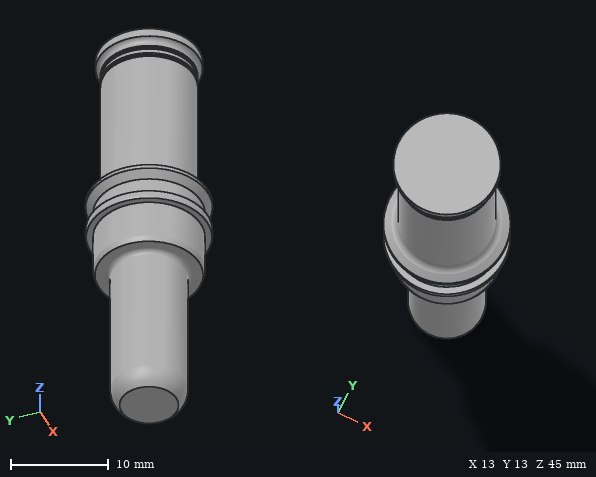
import cadquery as cq
import math

head_diameter = 11.0
neck_diameter = 10.0
groove_diameter = 9.8
collar_diameter = 13.0
body_diameter = 11.48
neck_flare_diameter = 11.4
body_end_diameter = 11.05
stem_diameter = 8.0
tip_diameter = 6.05
flange_bottom_diameter = 12.85

total_height = 45.0
head_bottom = 44.0
neck_top = 43.42
neck_bottom = 27.68
collar_cone_top = 26.8
collar_rim_top = 26.32
collar_rim_bottom = 25.88
collar_bottom = 25.05
flange_top = 22.9
flange_rim_bottom = 22.28
flange_bottom = 22.0
body_chamfer_top = 17.7
body_bottom = 17.05
stem_top = 16.5
tip_height = 2.0

groove_width = 0.45
groove_root_width = 0.2
groove_pitch = 0.95
groove_count = 2
first_groove_bottom = 42.7


def tangent_arc_middle(radius, z_tangent, z_end, radius_end):
    """Middle of an arc that leaves a cylinder tangentially and ends at another radius."""
    height = z_end - z_tangent
    shift = radius_end - radius
    arc_radius = (height**2 + shift**2) / (2 * abs(shift))
    half_angle = math.asin(abs(height) / arc_radius) / 2
    middle_radius = radius + math.copysign(arc_radius * (1 - math.cos(half_angle)), shift)
    middle_z = z_tangent + math.copysign(arc_radius * math.sin(half_angle), height)
    return (middle_radius, middle_z)


def make_pin():
    """Solid of revolution, with its half outline drawn as (radius, z) from the tip up."""
    tip_radius = tip_diameter / 2
    stem_radius = stem_diameter / 2
    body_radius = body_diameter / 2
    collar_radius = collar_diameter / 2
    neck_flare_radius = neck_flare_diameter / 2
    neck_radius = neck_diameter / 2
    head_radius = head_diameter / 2
    stem_fillet = body_bottom - stem_top
    stem_flare_radius = stem_radius + stem_fillet

    outline = (
        cq.Workplane("XZ")
        .lineTo(tip_radius, 0)
        .threePointArc(
            tangent_arc_middle(stem_radius, tip_height, 0, tip_radius), (stem_radius, tip_height)
        )
        .lineTo(stem_radius, stem_top)
        .threePointArc(
            tangent_arc_middle(stem_radius, stem_top, body_bottom, stem_flare_radius),
            (stem_flare_radius, body_bottom),
        )
        .lineTo(body_end_diameter / 2, body_bottom)
        .lineTo(body_radius, body_chamfer_top)
        .lineTo(body_radius, flange_bottom)
        .lineTo(flange_bottom_diameter / 2, flange_bottom)
        .lineTo(collar_radius, flange_rim_bottom)
        .lineTo(collar_radius, flange_top)
        .lineTo(body_radius, flange_top)
        .lineTo(body_radius, collar_bottom)
        .lineTo(collar_radius, collar_rim_bottom)
        .lineTo(collar_radius, collar_rim_top)
        .lineTo(neck_flare_radius, collar_cone_top)
        .threePointArc(
            tangent_arc_middle(neck_radius, neck_bottom, collar_cone_top, neck_flare_radius),
            (neck_radius, neck_bottom),
        )
        .lineTo(neck_radius, neck_top)
        .threePointArc(
            tangent_arc_middle(neck_radius, neck_top, head_bottom, head_radius),
            (head_radius, head_bottom),
        )
        .lineTo(head_radius, total_height)
        .lineTo(0, total_height)
        .close()
    )
    return outline.revolve(360, (0, 0, 0), (0, 1, 0))


def make_groove(bottom):
    """Ring of trapezoid section that cuts one shallow groove into the neck."""
    neck_radius = neck_diameter / 2
    groove_radius = groove_diameter / 2
    side_width = (groove_width - groove_root_width) / 2
    return (
        cq.Workplane("XZ")
        .moveTo(neck_radius, bottom)
        .lineTo(groove_radius, bottom + side_width)
        .lineTo(groove_radius, bottom + side_width + groove_root_width)
        .lineTo(neck_radius, bottom + groove_width)
        .close()
        .revolve(360, (0, 0, 0), (0, 1, 0))
    )


result = make_pin()
for index in range(groove_count):
    result = result.cut(make_groove(first_groove_bottom - index * groove_pitch))